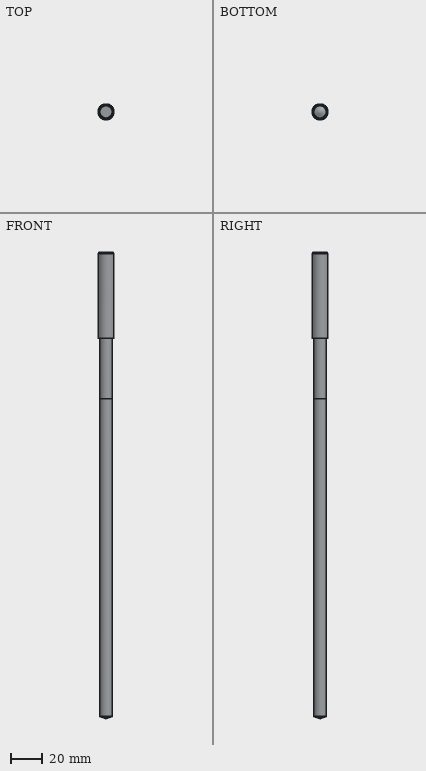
import cadquery as cq
import math

overall_length = 297.47
shank_diameter = 10.0
shank_length = 55.0
shank_chamfer_width = 1.0
shank_chamfer_height = 1.0
drill_diameter = 8.1
neck_length = 38.5
point_angle = 140.0

shank_radius = shank_diameter / 2
drill_radius = drill_diameter / 2
point_height = drill_radius / math.tan(math.radians(point_angle / 2))
shank_bottom_z = overall_length - shank_length
neck_bottom_z = shank_bottom_z - neck_length


def revolve_about_z(half_profile):
    """Turn a closed (radius, height) outline into a solid of revolution about Z."""
    return cq.Workplane("XZ").polyline(half_profile).close().revolve(360, (0, 0, 0), (0, 1, 0))


def make_cutting_part():
    """Straight cylinder ending in a conical drill point."""
    return revolve_about_z([
        (0, 0),
        (drill_radius, point_height),
        (drill_radius, neck_bottom_z),
        (0, neck_bottom_z),
    ])


def make_shank():
    """Clamping shank with a chamfered top and a reduced neck that meets the cutting part."""
    return revolve_about_z([
        (0, neck_bottom_z),
        (drill_radius, neck_bottom_z),
        (drill_radius, shank_bottom_z),
        (shank_radius, shank_bottom_z),
        (shank_radius, overall_length - shank_chamfer_height),
        (shank_radius - shank_chamfer_width, overall_length),
        (0, overall_length),
    ])


cutting_part = make_cutting_part()
shank = make_shank()

result = cq.Compound.makeCompound([cutting_part.val(), shank.val()])